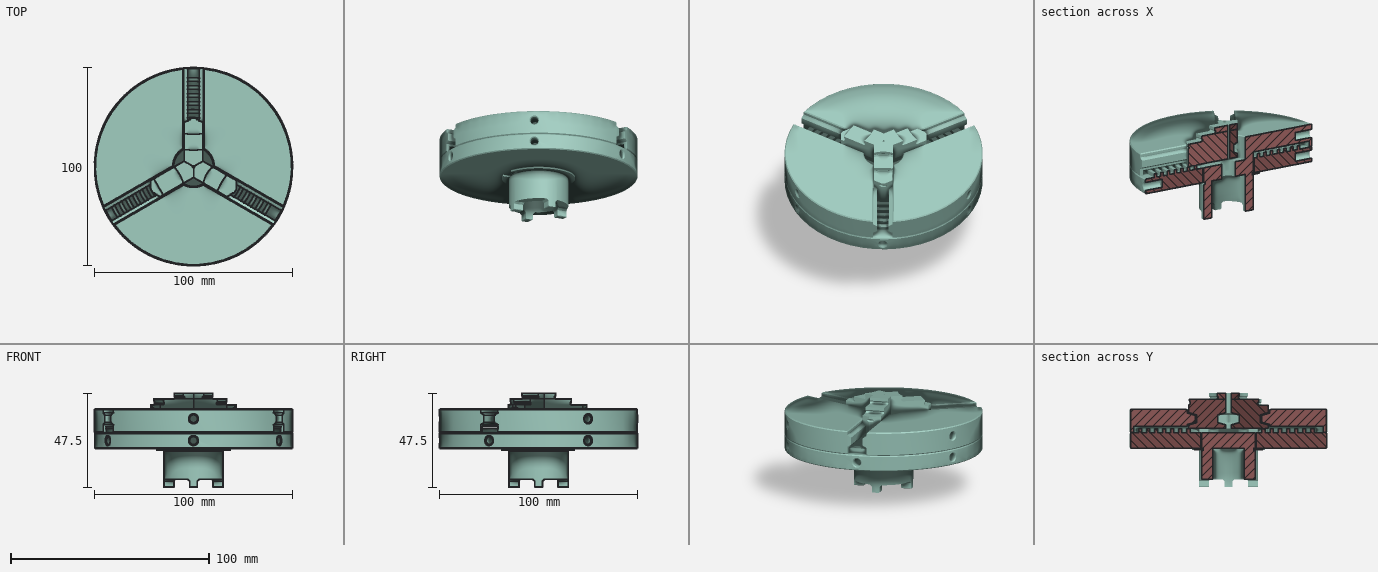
import cadquery as cq
import math


chuck_radius = 50.0
edge_chamfer = 0.5
ring_bottom = 19.5
ring_height = 8.0
body_height = 12.0
body_bottom = ring_bottom + ring_height
body_top = body_bottom + body_height

spindle_radius = 15.0
groove_radius = 14.25
groove_height = 0.8
bore_radius = 10.0
web_hole_radius = 4.0
recess_radius = 10.0
cavity_radius = 48.2
cavity_height = 3.0
tooth_height = 4.0
tooth_half_width = 2.0
tooth_flare = 1.0
tooth_chamfer = 0.3

slot_half_width = 5.0
waist_inset = 2.0
head_depth = 2.0
waist_mid_depth = 5.0
waist_taper = waist_inset * math.tan(math.radians(30))
foot_depth = 2 * waist_mid_depth - head_depth

bar_hole_radius = 2.0
bar_hole_depth = 10.0
bar_hole_chamfer = 0.5

ring_bore_radius = 15.25
scroll_height = 2.0
scroll_pitch = 4.0
scroll_land = 1.8
scroll_turns = 7
scroll_end_radius = 46.8
scroll_end_angle = -90.0
scroll_points_per_turn = 24

clip_radius = 18.5
clip_gap_half_width = 4.3

jaw_clearance = 0.25
jaw_half_width = slot_half_width - jaw_clearance
jaw_bottom = body_bottom + scroll_height
jaw_rise = 2.0
tier_height = 3.0
base_top = body_top + jaw_rise
middle_top = base_top + tier_height
jaw_tip_flat = 0.4
jaw_end = 24.4
jaw_end_half_flat = 0.9
middle_reach = 16.6
cap_reach = 8.6
middle_face_radius = 32.0
grip_edge_height = 1.5
grip_notch_height = 0.85
grip_notch_depth = 0.6
end_groove_inset = 1.2
end_groove_top = base_top - end_groove_inset
end_groove_height = 1.5
end_groove_depth = 0.65

long_reach = 20.4
long_edge_height = 0.4

up_angle = 90.0
left_angle = 210.0
right_angle = 330.0
jaw_angles = [up_angle, left_angle, right_angle]
cap_face_radius = {up_angle: 38.0, left_angle: 20.0, right_angle: 11.5}
long_jaw = left_angle


def turned(shape, angle):
    """Turn a shape modelled along +X to the given angle about the chuck axis."""
    return shape.rotate((0, 0, 0), (0, 0, 1), angle)


def disc(radius, bottom, height):
    return cq.Workplane("XY").workplane(offset=bottom).circle(radius).extrude(height)


def tommy_bar_hole(height, angle):
    """Blind radial hole with a countersunk mouth, as a cutting solid."""
    floor = chuck_radius - bar_hole_depth
    mouth = chuck_radius - bar_hole_chamfer
    flare = 2 * bar_hole_chamfer
    outline = [
        (floor, 0),
        (floor, bar_hole_radius),
        (mouth, bar_hole_radius),
        (mouth + flare, bar_hole_radius + flare),
        (mouth + flare, 0),
    ]
    hole = cq.Workplane("XZ").polyline(outline).close().revolve(360, (0, 0, 0), (1, 0, 0))
    return turned(hole.translate((0, 0, height)), angle)


def waisted_section(half_width, top, bottom, mouth_chamfer):
    """Closed section of a slot or jaw: wide head and foot joined by a narrow waist."""
    waist = half_width - waist_inset
    right = [
        (half_width + mouth_chamfer, top),
        (half_width, top - mouth_chamfer),
        (half_width, body_top - head_depth),
        (waist, body_top - head_depth - waist_taper),
        (waist, body_top - foot_depth + waist_taper),
        (half_width, body_top - foot_depth),
        (half_width, bottom),
    ]
    if mouth_chamfer == 0:
        right = right[1:]
    left = [(-y, z) for y, z in reversed(right)]
    return cq.Workplane("YZ").polyline(right + left).close()


def spindle_gap():
    """Space between two neighbouring spindle teeth, as a cutting solid."""
    near = tooth_half_width
    root = tooth_height
    far = spindle_radius + 1
    cut_edge = near - tooth_chamfer
    corner = near + tooth_flare
    outline = [
        (cut_edge, 0),
        (near, tooth_chamfer),
        (near, root - tooth_flare),
        (corner, root),
        (far, root),
        (far, 0),
    ]
    along_x = cq.Workplane("XZ").polyline(outline).close().extrude(-far)
    along_y = cq.Workplane("YZ").polyline(outline).close().extrude(far)
    return along_x.intersect(along_y)


def make_body():
    body = disc(chuck_radius, body_bottom, body_height).edges().chamfer(edge_chamfer)
    body = body.cut(disc(cavity_radius, body_bottom, cavity_height))

    groove_bottom = ring_bottom - groove_height
    spindle = disc(spindle_radius, 0, groove_bottom).faces(">Z").edges().chamfer(edge_chamfer)
    spindle = spindle.union(disc(groove_radius, groove_bottom, groove_height))
    spindle = spindle.union(disc(spindle_radius, ring_bottom, ring_height + cavity_height))
    body = body.union(spindle)

    body = body.cut(disc(bore_radius, 0, ring_bottom))
    body = body.cut(disc(web_hole_radius, ring_bottom, ring_height))
    body = body.cut(disc(recess_radius, body_bottom, body_height))
    rim = cq.Solid.makeCone(recess_radius, recess_radius + edge_chamfer, edge_chamfer)
    body = body.cut(cq.Workplane(rim).translate((0, 0, body_top - edge_chamfer)))

    for quarter in range(4):
        body = body.cut(turned(spindle_gap(), 90 * quarter))

    slot = waisted_section(slot_half_width, body_top, body_bottom, edge_chamfer).extrude(chuck_radius + 1)
    for angle in jaw_angles:
        body = body.cut(turned(slot, angle))
        body = body.cut(tommy_bar_hole(body_top - waist_mid_depth, angle + 180))
    return body


def scroll_thread():
    """Spiral ridge of constant width."""
    def spiral(offset):
        def point(turn):
            radius = scroll_end_radius - offset - scroll_pitch * (scroll_turns - turn)
            angle = math.radians(scroll_end_angle) + 2 * math.pi * turn
            return cq.Vector(radius * math.cos(angle), radius * math.sin(angle), body_bottom)

        count = scroll_turns * scroll_points_per_turn
        return cq.Edge.makeSpline([point(i / scroll_points_per_turn) for i in range(count + 1)])

    outer = spiral(0)
    inner = spiral(scroll_land)
    start = cq.Edge.makeLine(inner.startPoint(), outer.startPoint())
    end = cq.Edge.makeLine(outer.endPoint(), inner.endPoint())
    outline = cq.Wire.assembleEdges([start, outer, end, inner])
    return cq.Workplane(cq.Solid.extrudeLinear(outline, [], cq.Vector(0, 0, scroll_height)))


def make_scroll_ring():
    ring = disc(chuck_radius, ring_bottom, ring_height).edges().chamfer(edge_chamfer)
    ring = ring.cut(disc(ring_bore_radius, ring_bottom, ring_height))
    for sixth in range(6):
        ring = ring.cut(tommy_bar_hole(ring_bottom + ring_height / 2, 30 + 60 * sixth))
    return ring.union(scroll_thread())


def make_clip():
    bottom = ring_bottom - groove_height
    clip = disc(clip_radius, bottom, groove_height).cut(disc(groove_radius, bottom, groove_height))
    gap_width = 2 * clip_gap_half_width
    gap = cq.Workplane("XY").box(gap_width, clip_radius, groove_height, centered=(True, False, False))
    return clip.cut(gap.translate((0, 0, bottom)))


def jaw_plan(bottom, height, end):
    """Plan with a 120 degree inner point, cut square at the given end."""
    slope = math.tan(math.radians(30))
    tip_half_width = jaw_tip_flat / slope
    shoulder = jaw_half_width * slope
    upper = [(jaw_tip_flat, tip_half_width), (shoulder, jaw_half_width), (end, jaw_half_width)]
    lower = [(x, -y) for x, y in reversed(upper)]
    return cq.Workplane("XY").workplane(offset=bottom).polyline(upper + lower).close().extrude(height)


def grip_profile(bottom, edge, edge_height, ridge):
    """Line of a tier face from its top to its foot, with a pointed ridge (a notch if negative)."""
    return [
        (edge, bottom + tier_height),
        (edge, bottom + tier_height - edge_height),
        (edge + ridge, bottom + grip_notch_height),
        (edge, bottom),
    ]


def grip_plug(bottom, reach, face_radius):
    """Round plug with a pointed ridge that touches the jaw corners at the given reach."""
    centre = reach + math.sqrt(face_radius**2 - jaw_half_width**2)
    face = grip_profile(bottom, face_radius, grip_edge_height, grip_notch_depth)
    outline = [(0, bottom + tier_height)] + face + [(0, bottom)]
    plug = cq.Workplane("XZ").polyline(outline).close().revolve(360, (0, 0, 0), (0, 1, 0))
    return plug.translate((centre, 0, 0))


def make_tier(bottom, reach, face_radius):
    """Jaw step with a hollow, notched outer face."""
    tier = jaw_plan(bottom, tier_height, reach)
    return tier.cut(grip_plug(bottom, reach, face_radius))


def make_jaw_base():
    """Sliding part of the jaw, with a pointed and grooved outer end."""
    base = waisted_section(jaw_half_width, base_top, jaw_bottom, 0).extrude(jaw_end)
    base = base.intersect(jaw_plan(jaw_bottom, base_top - jaw_bottom, jaw_end))

    run_back = (jaw_half_width - jaw_end_half_flat) * math.tan(math.radians(30))
    for side in (1, -1):
        corner = [
            (jaw_end, side * jaw_end_half_flat),
            (jaw_end - run_back, side * jaw_half_width),
            (jaw_end, side * jaw_half_width),
        ]
        base = base.cut(cq.Workplane("XY").polyline(corner).close().extrude(base_top))

    groove = [
        (jaw_end, end_groove_top),
        (jaw_end - end_groove_depth, end_groove_top - end_groove_height / 2),
        (jaw_end, end_groove_top - end_groove_height),
    ]
    return base.cut(cq.Workplane("XZ").polyline(groove).close().extrude(jaw_half_width, both=True))


def make_long_tier():
    """Longer middle step with a flat, undercut outer face."""
    tier = jaw_plan(base_top, tier_height, long_reach)
    face = grip_profile(base_top, long_reach, long_edge_height, -grip_notch_depth)
    return tier.cut(cq.Workplane("XZ").polyline(face).close().extrude(jaw_half_width, both=True))


def make_jaw(angle):
    if angle == long_jaw:
        step = make_long_tier()
    else:
        step = make_tier(base_top, middle_reach, middle_face_radius)
    return turned(make_jaw_base().union(step), angle)


def make_jaw_cap(angle):
    return turned(make_tier(middle_top, cap_reach, cap_face_radius[angle]), angle)


body = make_body()
scroll_ring = make_scroll_ring()
clip = make_clip()
jaws = [make_jaw(angle) for angle in jaw_angles]
jaw_caps = [make_jaw_cap(angle) for angle in jaw_angles]

result = cq.Compound.makeCompound([
    body.val(),
    scroll_ring.val(),
    clip.val(),
    *[jaw.val() for jaw in jaws],
    *[cap.val() for cap in jaw_caps],
])